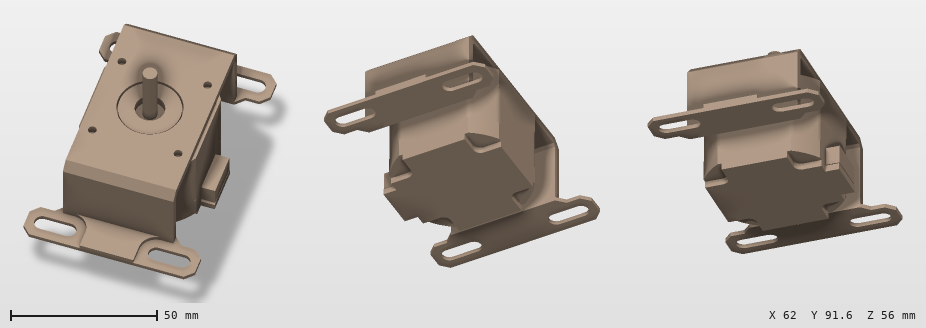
import cadquery as cq

MOTOR_SIDE = 42.3
CORNER_ROUND_DIA = 50.0
MOTOR_HEIGHT = 33.5
REAR_CAP_HEIGHT = 9.7
FRONT_CAP_HEIGHT = 7.9
STATOR_EDGE_RADIUS = 3.0
SHAFT_DIA = 5.0
SHAFT_TOP = 56.0

BOSS_DIA = 22.0
BOSS_HEIGHT = 2.5
BEARING_BORE_DIA = 10.5
BEARING_BORE_DEPTH = 3.5
COLLAR_DIA = 7.4
COLLAR_HEIGHT = 0.2

CORNER_CUT_HEIGHT = 2.4
CORNER_CUT_START = 11.9
CORNER_CUT_RADIUS = 2.8

CONNECTOR_REACH = 5.0
CONNECTOR_PLATE_WIDTH = 16.0
CONNECTOR_PLATE_HEIGHT = CORNER_CUT_HEIGHT
CONNECTOR_GAP = 0.6
CONNECTOR_BLOCK_WIDTH = 15.0
CONNECTOR_BLOCK_TOP = REAR_CAP_HEIGHT

SHEET = 3.0
BRACKET_WIDTH = 40.0
BRACKET_LENGTH = 91.6
BRACKET_TOP = MOTOR_HEIGHT + SHEET
FLANGE_BOTTOM = 8.4
WALL_OUTER_Y = 33.5
WALL_INNER_Y = WALL_OUTER_Y - SHEET
BEND_OUTER_CHAMFER = 3.0
BEND_INNER_CHAMFER = 1.0
BOSS_CLEARANCE_DIA = 23.0
SCREW_HOLE_DIA = 3.0
SCREW_SPACING = 31.0

FLANGE_LENGTH = 62.0
FLANGE_CHAMFER = 3.0
EAR_THICKNESS = SHEET / 2
FLANGE_OUTER_Y = BRACKET_LENGTH / 2
FLANGE_MID_Y = (FLANGE_OUTER_Y + WALL_OUTER_Y) / 2
SLOT_LENGTH = 15.0
SLOT_WIDTH = 5.5
SLOT_CENTER_X = 20.6
EAR_ROUND_X = SLOT_CENTER_X - (SLOT_LENGTH - SLOT_WIDTH) / 2
EAR_ROUND_RADIUS = FLANGE_MID_Y - WALL_OUTER_Y


def cylinder(diameter, bottom, top):
    return cq.Workplane("XY").workplane(offset=bottom).circle(diameter / 2).extrude(top - bottom)


def motor_section(bottom, top):
    """Length of the motor body: a square whose corners lie on one large circle."""
    square = cq.Workplane("XY").workplane(offset=bottom).rect(MOTOR_SIDE, MOTOR_SIDE).extrude(top - bottom)
    return square.intersect(cylinder(CORNER_ROUND_DIA, bottom, top))


def corner_cuts():
    """Square recesses with a rounded inner edge, at the four corners of the underside."""
    half = MOTOR_SIDE / 2
    size = 2 * (half - CORNER_CUT_START)
    return (
        cq.Workplane("XY")
        .rect(2 * half, 2 * half, forConstruction=True)
        .vertices()
        .rect(size, size)
        .extrude(CORNER_CUT_HEIGHT)
        .edges("|Z")
        .fillet(CORNER_CUT_RADIUS)
    )


def connector_slab(width, bottom, top):
    """Block standing out of the +X face of the motor."""
    return (
        cq.Workplane("XY")
        .box(CONNECTOR_REACH, width, top - bottom, centered=(False, True, False))
        .translate((MOTOR_SIDE / 2, 0, bottom))
    )


def make_motor():
    stator_top = MOTOR_HEIGHT - FRONT_CAP_HEIGHT
    rear_cap = motor_section(0, REAR_CAP_HEIGHT).cut(corner_cuts())
    stator = motor_section(REAR_CAP_HEIGHT, stator_top).edges("|Z").fillet(STATOR_EDGE_RADIUS)
    front_cap = motor_section(stator_top, MOTOR_HEIGHT)
    body = rear_cap.union(stator).union(front_cap)

    boss_top = MOTOR_HEIGHT + BOSS_HEIGHT
    bore_floor = boss_top - BEARING_BORE_DEPTH
    body = body.union(cylinder(BOSS_DIA, MOTOR_HEIGHT, boss_top))
    body = body.cut(cylinder(BEARING_BORE_DIA, bore_floor, boss_top))
    body = body.union(cylinder(COLLAR_DIA, bore_floor, bore_floor + COLLAR_HEIGHT))
    body = body.union(cylinder(SHAFT_DIA, bore_floor, SHAFT_TOP))

    block_bottom = CONNECTOR_PLATE_HEIGHT + CONNECTOR_GAP
    body = body.union(connector_slab(CONNECTOR_PLATE_WIDTH, 0, CONNECTOR_PLATE_HEIGHT))
    return body.union(connector_slab(CONNECTOR_BLOCK_WIDTH, block_bottom, CONNECTOR_BLOCK_TOP))


def make_channel():
    """Top plate and two walls, as a bent strip with flattened bends."""
    outer = (
        cq.Workplane("XY")
        .workplane(offset=FLANGE_BOTTOM)
        .rect(BRACKET_WIDTH, 2 * WALL_OUTER_Y)
        .extrude(BRACKET_TOP - FLANGE_BOTTOM)
        .edges("|X and >Z")
        .chamfer(BEND_OUTER_CHAMFER)
    )
    inner = (
        cq.Workplane("XY")
        .workplane(offset=FLANGE_BOTTOM)
        .rect(BRACKET_WIDTH, 2 * WALL_INNER_Y)
        .extrude(MOTOR_HEIGHT - FLANGE_BOTTOM)
        .edges("|X and >Z")
        .chamfer(BEND_INNER_CHAMFER)
    )
    return outer.cut(inner)


def make_flange():
    """Mounting flange on the +Y side: thick in the middle, with a thinner slotted ear at each end."""
    half_length = FLANGE_LENGTH / 2
    half_width = BRACKET_WIDTH / 2
    right_side = [
        (half_width, WALL_INNER_Y),
        (half_width + SHEET, WALL_OUTER_Y),
        (half_length - FLANGE_CHAMFER, WALL_OUTER_Y),
        (half_length, WALL_OUTER_Y + FLANGE_CHAMFER),
        (half_length, FLANGE_OUTER_Y - FLANGE_CHAMFER),
        (half_length - FLANGE_CHAMFER, FLANGE_OUTER_Y),
    ]
    left_side = [(-x, y) for x, y in reversed(right_side)]
    plate = (
        cq.Workplane("XY")
        .workplane(offset=FLANGE_BOTTOM)
        .polyline(right_side + left_side)
        .close()
        .extrude(EAR_THICKNESS)
    )
    pad = (
        cq.Workplane("XY")
        .workplane(offset=FLANGE_BOTTOM)
        .moveTo(-EAR_ROUND_X, WALL_OUTER_Y)
        .lineTo(EAR_ROUND_X, WALL_OUTER_Y)
        .radiusArc((EAR_ROUND_X - EAR_ROUND_RADIUS, FLANGE_MID_Y), EAR_ROUND_RADIUS)
        .lineTo(EAR_ROUND_X - EAR_ROUND_RADIUS, FLANGE_OUTER_Y)
        .lineTo(EAR_ROUND_RADIUS - EAR_ROUND_X, FLANGE_OUTER_Y)
        .lineTo(EAR_ROUND_RADIUS - EAR_ROUND_X, FLANGE_MID_Y)
        .radiusArc((-EAR_ROUND_X, WALL_OUTER_Y), EAR_ROUND_RADIUS)
        .close()
        .extrude(SHEET)
    )
    slots = (
        cq.Workplane("XY")
        .workplane(offset=FLANGE_BOTTOM)
        .pushPoints([(-SLOT_CENTER_X, FLANGE_MID_Y), (SLOT_CENTER_X, FLANGE_MID_Y)])
        .slot2D(SLOT_LENGTH, SLOT_WIDTH)
        .extrude(SHEET)
    )
    return plate.union(pad).cut(slots)


def make_bracket():
    flange = make_flange()
    bracket = make_channel().union(flange).union(flange.mirror("XZ"))
    bracket = bracket.cut(cylinder(BOSS_CLEARANCE_DIA, MOTOR_HEIGHT, BRACKET_TOP))
    screw_holes = (
        cq.Workplane("XY")
        .workplane(offset=MOTOR_HEIGHT)
        .rect(SCREW_SPACING, SCREW_SPACING, forConstruction=True)
        .vertices()
        .circle(SCREW_HOLE_DIA / 2)
        .extrude(SHEET)
    )
    return bracket.cut(screw_holes)


motor = make_motor()
bracket = make_bracket()
result = cq.Compound.makeCompound([motor.solids().val(), bracket.solids().val()])